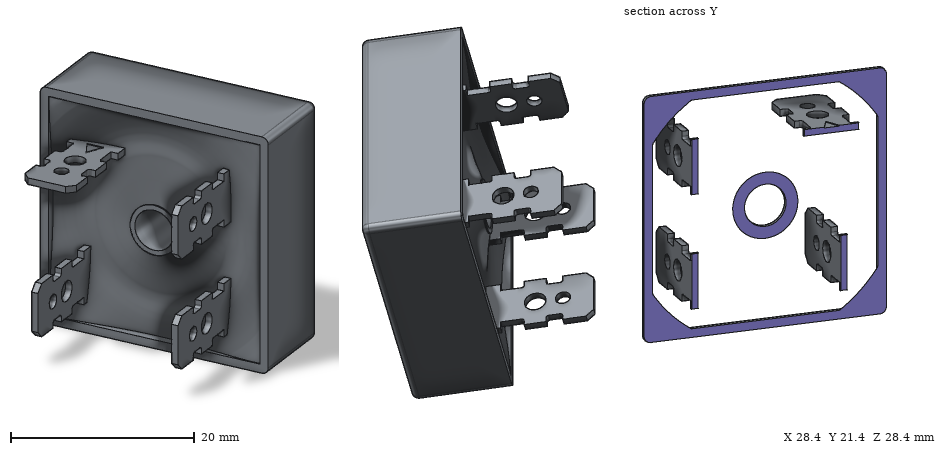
import cadquery as cq
import math


case_side = 28.4
overall_depth = 21.39
terminal_reach = 10.29
positive_reach = 10.2
case_depth = overall_depth - terminal_reach
edge_radius = 0.8
wall = 1.05
cavity_side = case_side - 2 * wall

tube_radius = 3.0
hole_radius = 2.4

tube_contact_depth = 0.15
cone_radius = 6.3
cone_depth = 1.15
trough_radius = 9.5
trough_depth = 1.7
wall_contact_depth = 1.05
corner_contact_depth = 0.15
cavity_corner_radius = cavity_side / 2 * math.sqrt(2)
bowl_margin = 0.1
bowl_radius = cavity_corner_radius + bowl_margin

blade_width = 6.4
blade_thickness = 0.8
neck_width = 4.64
notch_depth = (blade_width - neck_width) / 2
shoulder_end = -0.1
tab_start = 2.54
tab_end = 5.0
head_start = 6.84
tip_chamfer = 0.85
notch_radius = 0.3
foot_depth = 4.0
large_hole = (3.78, 2.4)
small_hole = (6.87, 1.65)

mark_width = 2.05
mark_tip = 1.3
mark_base = -0.76
mark_depth = 0.1

positive_centre = (-7.75, 7.78)
upright_centres = [(-9.21, -7.74), (8.23, -7.74), (8.23, 5.45)]


def make_case():
    """Filleted block, closed at the back."""
    block = cq.Workplane("XY").box(case_side, case_depth, case_side)
    block = block.translate((0, case_depth / 2, 0))
    return block.edges("|Y").fillet(edge_radius).faces(">Y").edges().fillet(edge_radius)


def make_cavity():
    """Space above the potting: a shallow ring-shaped bowl trimmed to the square cavity."""
    bowl = (
        cq.Workplane("XY")
        .moveTo(tube_radius, 0)
        .lineTo(tube_radius, tube_contact_depth)
        .spline(
            [
                (cone_radius, cone_depth),
                (trough_radius, trough_depth),
                (cavity_side / 2, wall_contact_depth),
                (bowl_radius, corner_contact_depth),
            ],
            includeCurrent=True,
        )
        .lineTo(bowl_radius, 0)
        .close()
        .revolve(360, (0, 0, 0), (0, 1, 0))
    )
    square = cq.Workplane("XY").box(cavity_side, 2 * case_depth, cavity_side)
    return bowl.intersect(square)


def make_notch(side, start, end, rounded_corners):
    """Cutter for an edge notch between two distances from the open face.

    rounded_corners selects which of its corners nearest the blade centre are rounded.
    """
    inner_side = "<X" if side > 0 else ">X"
    return (
        cq.Workplane("XY")
        .box(2 * notch_depth, end - start, 2 * blade_thickness)
        .faces(inner_side)
        .edges(rounded_corners)
        .fillet(notch_radius)
        .translate((side * blade_width / 2, -(start + end) / 2, 0))
    )


def make_blade(reach):
    """Flat blade centred on the Y axis, wide in X and thin in Z, with its tip at y = -reach."""
    blade = (
        cq.Workplane("XY")
        .box(blade_width, reach + foot_depth, blade_thickness)
        .translate((0, (foot_depth - reach) / 2, 0))
        .edges("|Z and <Y")
        .chamfer(tip_chamfer)
    )
    for side in (-1, 1):
        blade = blade.cut(make_notch(side, shoulder_end, tab_start, "|Z and <Y"))
        blade = blade.cut(make_notch(side, tab_end, head_start, "|Z"))
    for distance, diameter in (large_hole, small_hole):
        drill = cq.Workplane("XY", origin=(0, -distance, -blade_thickness / 2)).circle(diameter / 2)
        blade = blade.cut(drill.extrude(blade_thickness))
    return blade


def make_mark():
    """Triangle pointing to the tip, sunk into the +Z side of a blade."""
    return (
        cq.Workplane("XY")
        .workplane(offset=blade_thickness / 2 - mark_depth)
        .polyline([(-mark_width / 2, -mark_base), (mark_width / 2, -mark_base), (0, -mark_tip)])
        .close()
        .extrude(2 * mark_depth)
    )


def place(blade, centre):
    x, z = centre
    return blade.translate((x, 0, z))


case = make_case().cut(make_cavity())
positive_blade = make_blade(positive_reach).cut(make_mark())
upright_blade = make_blade(terminal_reach).rotate((0, 0, 0), (0, 1, 0), 90)

result = case.union(place(positive_blade, positive_centre))
for centre in upright_centres:
    result = result.union(place(upright_blade, centre))

mounting_hole = cq.Workplane("XZ").circle(hole_radius).extrude(-case_depth)
result = result.cut(mounting_hole)